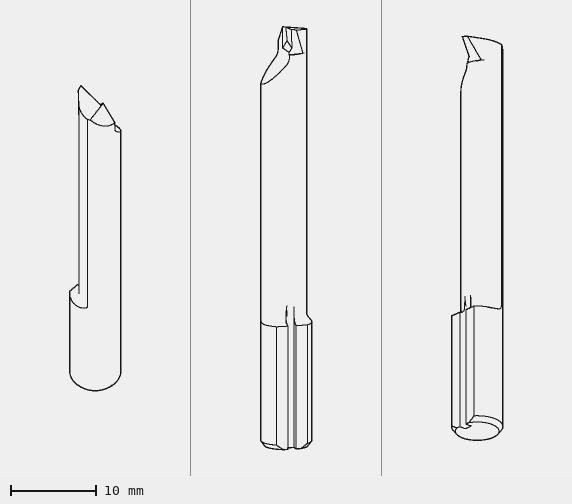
import cadquery as cq
import math


length = 50.0
shank_radius = 3.0
flat_x = -2.35
end_chamfer_width = 0.45
end_chamfer_height = 0.6
margin = 1.0
oversize = 4 * shank_radius

neck_radius = 2.73
neck_center_x = 1.12
shoulder_z = 14.7
shoulder_fillet = 0.85

slot_width = 1.0
slot_floor_x = -1.48
slot_top_z = 17.2
slot_runout_radius = 17.0
slot_corner_radius = 0.12

rake_face_y = 0.1
ramp_angle = 49.0
ramp_start_y = neck_radius
ramp_start_z = 43.0
ramp_fillet = 1.4

head_bottom_z = 46.8
tip_overhang_angle = 17.0
relief_break_top_y = -0.07
relief_break_slope = 0.24
primary_relief_angle = 8.0
secondary_relief_angle = 14.0
top_slope_x = 6.0
top_slope_y = 8.0
top_chamfer_angle = 48.0
top_chamfer_end_z = 47.6

rake_end_x = 1.1
rake_side_angle = 5.5
rake_back_angle = 6.0
rake_floor_z = 47.1
rake_floor_angle = 57.0


def slope(degrees):
    return math.tan(math.radians(degrees))


def space_beyond(point, normal):
    """Large block on the side of a plane that the normal points to."""
    plane = cq.Plane(origin=point, xDir=(-normal[2], 0, normal[0]), normal=normal)
    return cq.Workplane(plane).rect(2 * length, 2 * length).extrude(oversize)


def make_blank():
    """Full-length round bar with a coned lower end and one flat."""
    profile = [
        (0, 0),
        (shank_radius - end_chamfer_width, 0),
        (shank_radius, end_chamfer_height),
        (shank_radius, length + margin),
        (0, length + margin),
    ]
    bar = cq.Workplane("XZ").polyline(profile).close().revolve(360, (0, 0, 0), (0, 1, 0))
    return bar.cut(space_beyond((flat_x, 0, length / 2), (-1, 0, 0)))


def make_neck_relief():
    """Ring around the neck cylinder with a concave fillet at the shoulder."""
    top = length + 2 * margin
    arc_offset = shoulder_fillet * (1 - math.sqrt(0.5))
    ring = (
        cq.Workplane("XZ", origin=(neck_center_x, 0, 0))
        .moveTo(neck_radius, top)
        .lineTo(neck_radius, shoulder_z + shoulder_fillet)
        .threePointArc(
            (neck_radius + arc_offset, shoulder_z + arc_offset),
            (neck_radius + shoulder_fillet, shoulder_z),
        )
        .lineTo(oversize, shoulder_z)
        .lineTo(oversize, top)
        .close()
        .revolve(360, (0, 0, 0), (0, 1, 0))
    )
    return ring.cut(make_head_corner())


def make_head_corner():
    """Corner of bar kept at the head, bounded by a 45 degree plane tangent to the neck."""
    tangent_offset = neck_radius * math.sqrt(0.5)
    tangent_x = neck_center_x - tangent_offset
    reach = oversize / 2
    outline = [
        (neck_center_x, 0),
        (neck_center_x, reach),
        (tangent_x - tangent_offset - reach, reach),
        (tangent_x, -tangent_offset),
    ]
    return (
        cq.Workplane("XY", origin=(0, 0, head_bottom_z))
        .polyline(outline)
        .close()
        .extrude(oversize)
    )


def tip_relief_outline(z):
    """Corners, at height z, of the space in front of the two relief faces of the tip."""
    drop = length - z
    tip_x = flat_x + drop * slope(tip_overhang_angle)
    break_y = relief_break_top_y - drop * relief_break_slope
    break_x = tip_x + (rake_face_y - break_y) * slope(primary_relief_angle)
    front_x = tip_x - margin * slope(primary_relief_angle)
    back_x = break_x + (break_y + oversize) * slope(secondary_relief_angle)
    return [
        (-oversize, rake_face_y + margin),
        (front_x, rake_face_y + margin),
        (break_x, break_y),
        (back_x, -oversize),
        (-oversize, -oversize),
    ]


def make_tip_relief():
    """Space in front of the tip, widening downwards to the notch floor."""
    levels = [head_bottom_z, length + margin]
    wires = []
    for z in levels:
        points = [cq.Vector(x, y, z) for x, y in tip_relief_outline(z)]
        wires.append(cq.Wire.makePolygon(points, close=True))
    return cq.Workplane(obj=cq.Solid.makeLoft(wires, True))


def make_half_cut():
    """Space above the ramp and in front of the rake face, filleted between them."""
    foot_z = ramp_start_z + (ramp_start_y - rake_face_y) * slope(ramp_angle)
    low_z = ramp_start_z - margin * slope(ramp_angle)
    profile = [
        (rake_face_y, length + margin),
        (rake_face_y, foot_z),
        (ramp_start_y + margin, low_z),
        (ramp_start_y + margin, length + margin),
    ]
    block = cq.Workplane("YZ").polyline(profile).close().extrude(oversize, both=True)
    foot = cq.selectors.NearestToPointSelector((0, rake_face_y, foot_z))
    return block.edges("|X").edges(foot).fillet(ramp_fillet)


def make_slot():
    """Coolant slot with rounded floor corners, running out on an arc."""
    neck_x = neck_center_x - neck_radius
    outside_x = flat_x - margin
    arc_center_x = slot_floor_x - slot_runout_radius
    half_chord = math.sqrt(slot_runout_radius**2 - (neck_x - arc_center_x) ** 2)
    runout_z = slot_top_z - half_chord
    end_z = runout_z + math.sqrt(slot_runout_radius**2 - (outside_x - arc_center_x) ** 2)
    arc_angle = math.asin((end_z - runout_z) / slot_runout_radius) / 2
    arc_middle = (
        arc_center_x + slot_runout_radius * math.cos(arc_angle),
        runout_z + slot_runout_radius * math.sin(arc_angle),
    )
    slot = (
        cq.Workplane("XZ")
        .moveTo(outside_x, -margin)
        .lineTo(slot_floor_x, -margin)
        .lineTo(slot_floor_x, runout_z)
        .threePointArc(arc_middle, (outside_x, end_z))
        .close()
        .extrude(slot_width / 2, both=True)
    )
    floor_edge = cq.selectors.NearestToPointSelector((slot_floor_x, slot_width / 2, 0))
    return slot.edges("|Z").edges(floor_edge).fillet(slot_corner_radius)


def make_rake_hollow():
    """Space in front of the inclined rake plane, ending at a side wall and a sloped floor."""
    rake_normal = (slope(rake_side_angle), 1, -slope(rake_back_angle))
    rake_space = space_beyond((flat_x, rake_face_y, length), rake_normal)
    back_y = rake_face_y - margin
    front_y = rake_face_y + margin
    profile = [
        (front_y, rake_floor_z - margin * slope(rake_floor_angle)),
        (front_y, length + margin),
        (back_y, length + margin),
        (back_y, rake_floor_z + margin * slope(rake_floor_angle)),
    ]
    hollow_limits = (
        cq.Workplane("YZ", origin=(rake_end_x, 0, 0))
        .polyline(profile)
        .close()
        .extrude(-oversize)
    )
    return hollow_limits.intersect(rake_space)


def make_top_cuts():
    """Space above the end face, which falls away from the tip, and above its +X chamfer."""
    end_normal = (slope(top_slope_x), -slope(top_slope_y), 1)
    end_space = space_beyond((flat_x, rake_face_y, length), end_normal)
    chamfer_normal = (slope(top_chamfer_angle), 0, 1)
    chamfer_space = space_beyond((shank_radius, 0, top_chamfer_end_z), chamfer_normal)
    return [end_space, chamfer_space]


result = make_blank()
result = result.cut(make_neck_relief())
result = result.cut(make_half_cut())
result = result.cut(make_tip_relief())
result = result.cut(make_slot())
result = result.cut(make_rake_hollow())
for top_space in make_top_cuts():
    result = result.cut(top_space)